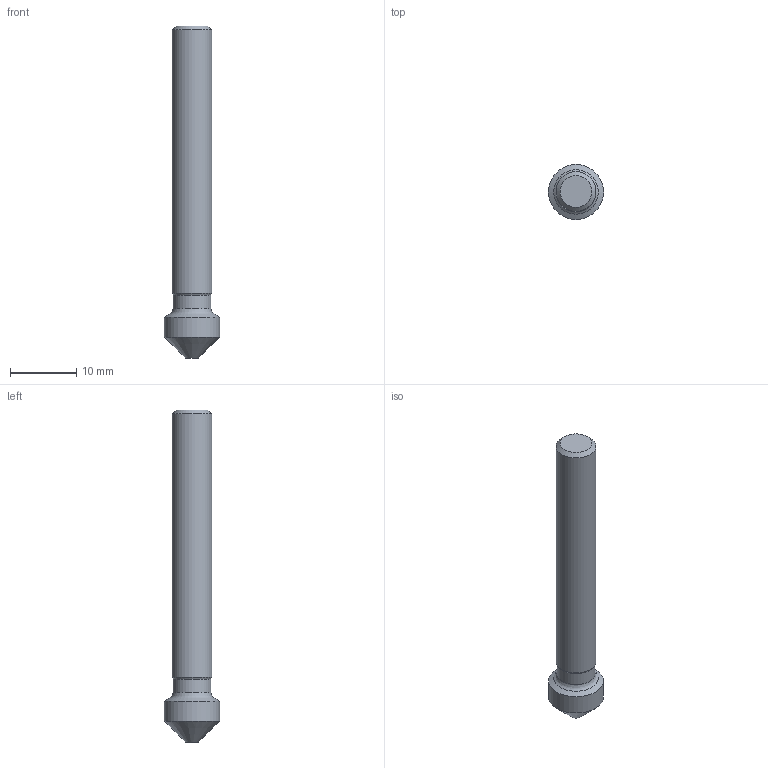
import cadquery as cq
import math

total_length = 50.0
shank_diameter = 6.0
neck_diameter = 5.7
head_diameter = 8.3
tip_diameter = 2.0

head_length = 3.0
neck_length = 2.0
tip_half_angle = 45.0
head_top_angle = 30.0
neck_fillet_radius = 1.0
shank_step_angle = 30.0
end_chamfer = 0.6

shank_radius = shank_diameter / 2
neck_radius = neck_diameter / 2
head_radius = head_diameter / 2
tip_radius = tip_diameter / 2
end_radius = shank_radius - end_chamfer

head_bottom_z = (head_radius - tip_radius) / math.tan(math.radians(tip_half_angle))
head_top_z = head_bottom_z + head_length

fillet_turn = math.radians(90 - head_top_angle)
fillet_start_radius = neck_radius + neck_fillet_radius * (1 - math.cos(fillet_turn))
fillet_start_z = head_top_z + (head_radius - fillet_start_radius) * math.tan(math.radians(head_top_angle))
fillet_end_z = fillet_start_z + neck_fillet_radius * math.sin(fillet_turn)
fillet_mid_radius = neck_radius + neck_fillet_radius * (1 - math.cos(fillet_turn / 2))
fillet_mid_z = fillet_end_z - neck_fillet_radius * math.sin(fillet_turn / 2)

neck_top_z = fillet_end_z + neck_length
shank_bottom_z = neck_top_z + (shank_radius - neck_radius) / math.tan(math.radians(shank_step_angle))
chamfer_bottom_z = total_length - end_chamfer


def point(radius, height):
    """Profile point on the -Y side of the axis, in the YZ plane."""
    return (-radius, height)


def countersink_body():
    """Countersink blank: conical tip, head, filleted neck and shank, revolved about Z."""
    profile = (
        cq.Workplane("YZ")
        .moveTo(*point(0, 0))
        .lineTo(*point(tip_radius, 0))
        .lineTo(*point(head_radius, head_bottom_z))
        .lineTo(*point(head_radius, head_top_z))
        .lineTo(*point(fillet_start_radius, fillet_start_z))
        .threePointArc(point(fillet_mid_radius, fillet_mid_z), point(neck_radius, fillet_end_z))
        .lineTo(*point(neck_radius, neck_top_z))
        .lineTo(*point(shank_radius, shank_bottom_z))
        .lineTo(*point(shank_radius, chamfer_bottom_z))
        .lineTo(*point(end_radius, total_length))
        .lineTo(*point(0, total_length))
        .close()
    )
    full_turn = 360
    axis_start = (0, 0, 0)
    axis_end = (0, 1, 0)
    return profile.revolve(full_turn, axis_start, axis_end)


result = countersink_body()